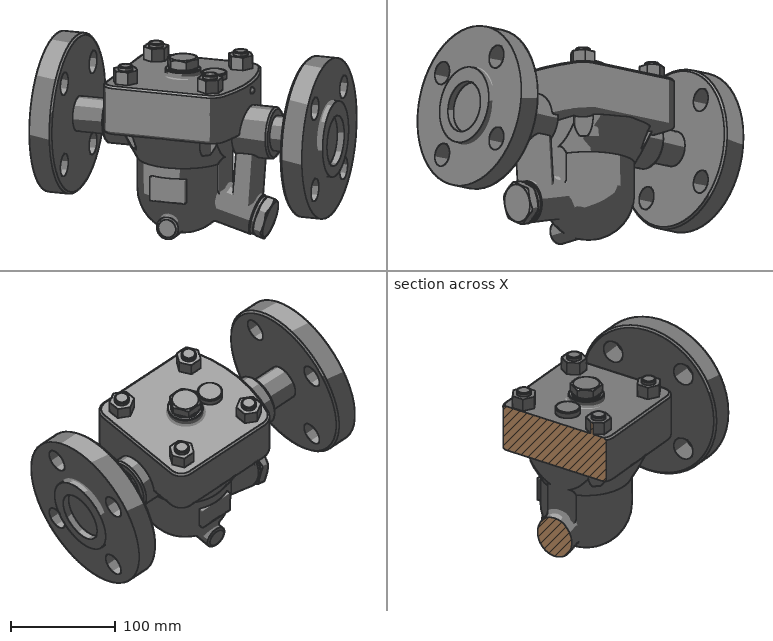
import cadquery as cq
import math

FACE_TO_FACE = 290.0
FLANGE_DIA = 155.0
FLANGE_THICKNESS = 22.4
FLANGE_CHAMFER = 2.0
RAISED_FACE_DIA = 73.2
RAISED_FACE_HEIGHT = 6.4
RAISED_FACE_FILLET = 1.8
BOLT_CIRCLE_DIA = 114.3
BOLT_HOLE_DIA = 22.0
BOLT_HOLE_COUNT = 4
SOCKET_DIA = 48.6
SOCKET_DEPTH = 7.0
SOCKET_DROP = 1.8
PIPE_DIA = 34.0
PORT_DIA = 50.0
PORT_END_X = 84.2
PORT_CHAMFER = 1.8

BODY_X = -10.0
HEAD_LEFT_X = -72.4
HEAD_RIGHT_X = 59.6
HEAD_WIDTH = 124.5
BOW_RADIUS = 150.0
LEFT_CORNER_RADIUS = 14.0
RIGHT_CORNER_RADIUS = 16.0
RIM_BOTTOM_Z = 0.8
PARTING_Z = 29.5
COVER_TOP_Z = 49.0
BOW_DRAFT_INSET = 1.8
COVER_TOP_CHAMFER = 2.0
RIM_BOTTOM_FILLET = 3.0

BOWL_RADIUS = 44.0
DOME_CENTRE_Z = -62.5
NECK_Z = -32.0
SHOULDER_Z = -18.3
SHOULDER_RADIUS = 51.7
BOWL_TOP_Z = 3.5
BOWL_TOP_RADIUS = 62.2
SCOOP_RADIUS = 10.0
GAP_LEFT_X = 36.4
GAP_RIGHT_X = 47.5
PORT_INNER_FILLET = 2.5
PAD_WIDTH = 32.0
PAD_BOTTOM_Z = -70.0
PAD_CORNER_RADIUS = 5.5

HEX_TURN = 30.0
STUD_PITCH = 86.0
STUD_DIA = 14.0
STUD_TOP_Z = 65.5
STUD_CHAMFER = 1.0
NUT_FLATS = 21.0
NUT_HEIGHT = 12.7
NUT_FACE_DIA = 23.4
NUT_CHAMFER = 0.8

PLUG_BOSS_DIA = 34.0
PLUG_BOSS_TOP_Z = 55.5
PLUG_BOSS_CHAMFER = 0.5
PLUG_BOSS_FILLET = 3.0
PLUG_NECK_DIA = 28.0
PLUG_NECK_HEIGHT = 1.0
PLUG_FLATS = 27.0
PLUG_TOP_Z = 66.5
PLUG_FACE_DIA = 25.2
PLUG_CHAMFER = 1.3
ROUND_PAD_X = 21.7
ROUND_PAD_DIA = 24.0
ROUND_PAD_TOP_Z = 55.2
ROUND_PAD_CHAMFER = 1.0
PIN_RADIUS = 3.4
PIN_TIP_X = 62.5
PIN_Z = 40.0

BRANCH_TILT = 15.0
BRANCH_DIA = 40.0
BRANCH_LENGTH = 79.0
BRANCH_CHAMFER = 1.0
BRANCH_NECK_DIA = 38.0
BRANCH_NECK_LENGTH = 3.0
BRANCH_PLUG_FLATS = 37.0
BRANCH_PLUG_END = 92.0
BRANCH_PLUG_CHAMFER = 1.5
BRANCH_PLUG_FACE_DIA = 36.0
BRANCH_PLUG_CORNER_RADIUS = 4.0
BRANCH_ROOT_FILLET = 5.0

RIB_WIDTH = 22.6
RIB_DEPTH = 34.0
RIB_CORNER_RADIUS = 6.0
RIB_TOP_X = 60.6
RIB_TILT = 4.1
RIB_LENGTH = 72.0
RIB_ROOT_FILLET = 2.0

DRAIN_DIA = 22.0
DRAIN_Z = -92.0
DRAIN_END_Y = -45.2
DRAIN_CHAMFER_RADIAL = 1.2
DRAIN_CHAMFER_AXIAL = 2.2
DRAIN_ROOT_FILLET = 2.5
PLATE_WIDTH = 36.0
PLATE_HEIGHT = 24.0
PLATE_CENTRE_Z = -54.3
PLATE_FRONT_Y = -44.6
PLATE_CORNER_RADIUS = 1.0
PLATE_EDGE_FILLET = 0.5


def hex_prism(plane, across_flats, height, face_dia, chamfer, turn=0.0, both_ends=False, corner=0.0):
    """Hexagonal prism on a plane, its corners trimmed by a chamfered round bar."""
    across_corners = across_flats / math.cos(math.pi / 6)
    prism = (
        cq.Workplane(plane)
        .transformed(rotate=(0, 0, turn))
        .polygon(6, across_corners)
        .extrude(height)
    )
    if corner:
        prism = prism.edges(cq.selectors.ParallelDirSelector(plane.zDir)).fillet(corner)
    ends = "<Z or >Z" if both_ends else ">Z"
    bar = cq.Workplane("XY").circle(across_corners / 2).extrude(height)
    bar = bar.edges(ends).chamfer(chamfer, (across_corners - face_dia) / 2)
    trimmed = prism.val().intersect(bar.val().moved(plane.location))
    return cq.Workplane(trimmed)


def blend(base, feature, radius):
    """Join a feature to a base and fillet the seam where their surfaces meet."""
    tolerance = 0.001
    joined = base.union(feature)
    shells = [cq.Compound.makeCompound(part.faces().vals()) for part in (base, feature)]
    own_edges = cq.Compound.makeCompound(base.edges().vals() + feature.edges().vals())
    seam = []
    for edge in joined.edges().vals():
        middle = cq.Vertex.makeVertex(*edge.positionAt(0.5).toTuple())
        on_both = all(middle.distance(shell) < tolerance for shell in shells)
        if on_both and middle.distance(own_edges) > tolerance:
            seam.append(edge)
    return joined.newObject(seam).fillet(radius)


def pipe_end(inner_x, inner_fillet=0.0):
    """Left flange with pipe stub and a port that reaches inwards to inner_x."""
    face_x = -FACE_TO_FACE / 2
    front_x = face_x + RAISED_FACE_HEIGHT
    back_x = front_x + FLANGE_THICKNESS
    port_x = -PORT_END_X

    flange = cq.Workplane("YZ", origin=(front_x, 0, 0)).circle(FLANGE_DIA / 2).extrude(FLANGE_THICKNESS)
    flange = flange.edges(">X").chamfer(FLANGE_CHAMFER)
    raised_face = (
        cq.Workplane("YZ", origin=(face_x, 0, 0)).circle(RAISED_FACE_DIA / 2).extrude(RAISED_FACE_HEIGHT)
    )
    root_edge = cq.selectors.RadiusNthSelector(0)
    flange = flange.union(raised_face)
    flange = flange.faces("<X[1]").edges(root_edge).fillet(RAISED_FACE_FILLET)

    bolt_holes = (
        cq.Workplane("YZ", origin=(front_x, 0, 0))
        .polarArray(BOLT_CIRCLE_DIA / 2, 180 / BOLT_HOLE_COUNT, 360, BOLT_HOLE_COUNT)
        .circle(BOLT_HOLE_DIA / 2)
        .extrude(FLANGE_THICKNESS)
    )
    socket = (
        cq.Workplane("YZ", origin=(face_x, 0, -SOCKET_DROP)).circle(SOCKET_DIA / 2).extrude(SOCKET_DEPTH)
    )
    pipe = cq.Workplane("YZ", origin=(back_x, 0, 0)).circle(PIPE_DIA / 2).extrude(port_x - back_x)
    port = cq.Workplane("YZ", origin=(port_x, 0, 0)).circle(PORT_DIA / 2).extrude(inner_x - port_x)
    port = port.faces("<X").chamfer(PORT_CHAMFER)
    if inner_fillet:
        port = port.faces(">X").edges().fillet(inner_fillet)
    return flange.cut(bolt_holes).cut(socket).union(pipe).union(port)


def head_outline(z, bow_x):
    """Closed head outline at height z; the bowed right side reaches out to bow_x."""
    half_width = HEAD_WIDTH / 2
    left_x = HEAD_LEFT_X + LEFT_CORNER_RADIUS
    left_y = half_width - LEFT_CORNER_RADIUS

    bow_centre_x = HEAD_RIGHT_X - BOW_RADIUS
    corner_y = half_width - RIGHT_CORNER_RADIUS
    centre_distance = BOW_RADIUS - RIGHT_CORNER_RADIUS
    corner_x = bow_centre_x + math.sqrt(centre_distance**2 - corner_y**2)
    tangent_x = bow_centre_x + (corner_x - bow_centre_x) * BOW_RADIUS / centre_distance
    tangent_y = corner_y * BOW_RADIUS / centre_distance

    return (
        cq.Workplane("XY", origin=(0, 0, z))
        .moveTo(left_x, -half_width)
        .lineTo(corner_x, -half_width)
        .radiusArc((tangent_x, -tangent_y), -RIGHT_CORNER_RADIUS)
        .threePointArc((bow_x, 0), (tangent_x, tangent_y))
        .radiusArc((corner_x, half_width), -RIGHT_CORNER_RADIUS)
        .lineTo(left_x, half_width)
        .radiusArc((HEAD_LEFT_X, left_y), -LEFT_CORNER_RADIUS)
        .lineTo(HEAD_LEFT_X, -left_y)
        .radiusArc((left_x, -half_width), -LEFT_CORNER_RADIUS)
        .close()
    )


def cover():
    slab = head_outline(PARTING_Z, HEAD_RIGHT_X).extrude(COVER_TOP_Z - PARTING_Z)
    return slab.faces(">Z").chamfer(COVER_TOP_CHAMFER)


def rim():
    """Body rim under the cover; its bowed side is drafted inwards towards the bottom."""
    top_wire = head_outline(PARTING_Z, HEAD_RIGHT_X).val()
    bottom_wire = head_outline(RIM_BOTTOM_Z, HEAD_RIGHT_X - BOW_DRAFT_INSET).val()
    slab = cq.Workplane(cq.Solid.makeLoft([bottom_wire, top_wire], True))
    return slab.faces("<Z").edges().fillet(RIM_BOTTOM_FILLET)


def stud_points():
    """Stud centres with the sign of the diagonal on which each one lies."""
    half_pitch = STUD_PITCH / 2
    return [
        (BODY_X + side_x * half_pitch, side_y * half_pitch, side_x * side_y)
        for side_x in (-1, 1)
        for side_y in (-1, 1)
    ]


def bowl():
    """Domed bowl with conical shoulders, stud scoops and a flat right side."""
    profile = (
        cq.Workplane("XZ", origin=(BODY_X, 0, 0))
        .moveTo(0, BOWL_TOP_Z)
        .lineTo(BOWL_TOP_RADIUS, BOWL_TOP_Z)
        .lineTo(SHOULDER_RADIUS, SHOULDER_Z)
        .lineTo(BOWL_RADIUS, NECK_Z)
        .lineTo(BOWL_RADIUS, DOME_CENTRE_Z)
        .radiusArc((0, DOME_CENTRE_Z - BOWL_RADIUS), BOWL_RADIUS)
        .close()
    )
    shell = profile.revolve(360, (0, 0, 0), (0, 1, 0))
    for x, y, _ in stud_points():
        scoop = cq.Workplane("XY", origin=(x, y, SHOULDER_Z)).circle(SCOOP_RADIUS)
        shell = shell.cut(scoop.extrude(RIM_BOTTOM_Z - SHOULDER_Z))
    side = cq.Workplane("XY").box(
        BOWL_TOP_RADIUS, HEAD_WIDTH, BOWL_TOP_Z - PAD_BOTTOM_Z, centered=(False, True, False)
    )
    shell = shell.cut(side.translate((GAP_LEFT_X, 0, PAD_BOTTOM_Z)))
    pad = cq.Workplane("XY").box(
        GAP_LEFT_X - BODY_X, PAD_WIDTH, SHOULDER_Z - PAD_BOTTOM_Z, centered=(False, True, False)
    )
    pad = pad.edges("|Z and >X").fillet(PAD_CORNER_RADIUS)
    return shell.union(pad.translate((BODY_X, 0, PAD_BOTTOM_Z)))


def stud_and_nut(x, y, diagonal):
    """Stud end with its nut; nuts on opposite diagonals are turned by half a flat."""
    seat = cq.Plane(origin=(x, y, COVER_TOP_Z))
    turn = 0 if diagonal > 0 else HEX_TURN
    nut = hex_prism(seat, NUT_FLATS, NUT_HEIGHT, NUT_FACE_DIA, NUT_CHAMFER, turn)
    stud = cq.Workplane(seat).circle(STUD_DIA / 2).extrude(STUD_TOP_Z - COVER_TOP_Z)
    return nut.union(stud.faces(">Z").chamfer(STUD_CHAMFER))


def cover_plug():
    """Hexagonal plug on a round boss with a flared foot."""
    radius = PLUG_BOSS_DIA / 2
    boss = (
        cq.Workplane("XZ", origin=(BODY_X, 0, 0))
        .moveTo(0, COVER_TOP_Z)
        .lineTo(radius + PLUG_BOSS_FILLET, COVER_TOP_Z)
        .radiusArc((radius, COVER_TOP_Z + PLUG_BOSS_FILLET), PLUG_BOSS_FILLET)
        .lineTo(radius, PLUG_BOSS_TOP_Z)
        .lineTo(0, PLUG_BOSS_TOP_Z)
        .close()
        .revolve(360, (0, 0, 0), (0, 1, 0))
        .faces(">Z")
        .chamfer(PLUG_BOSS_CHAMFER)
    )
    neck_top_z = PLUG_BOSS_TOP_Z + PLUG_NECK_HEIGHT
    neck = cq.Workplane("XY", origin=(BODY_X, 0, PLUG_BOSS_TOP_Z)).circle(PLUG_NECK_DIA / 2)
    seat = cq.Plane(origin=(BODY_X, 0, neck_top_z))
    height = PLUG_TOP_Z - neck_top_z
    head_hex = hex_prism(seat, PLUG_FLATS, height, PLUG_FACE_DIA, PLUG_CHAMFER, both_ends=True)
    return boss.union(neck.extrude(PLUG_NECK_HEIGHT)).union(head_hex)


def round_pad():
    pad = cq.Workplane("XY", origin=(ROUND_PAD_X, 0, COVER_TOP_Z)).circle(ROUND_PAD_DIA / 2)
    return pad.extrude(ROUND_PAD_TOP_Z - COVER_TOP_Z).faces(">Z").chamfer(ROUND_PAD_CHAMFER)


def pin():
    return cq.Workplane("XY").sphere(PIN_RADIUS).translate((PIN_TIP_X - PIN_RADIUS, 0, PIN_Z))


def branch():
    """Side branch sloping down from the dome centre, closed by a hexagonal plug."""
    tilt = math.radians(BRANCH_TILT)
    direction = cq.Vector(math.cos(tilt), 0, -math.sin(tilt))
    start = cq.Vector(BODY_X, 0, DOME_CENTRE_Z)

    def plane_at(distance):
        return cq.Plane(origin=start + direction * distance, xDir=(0, 1, 0), normal=direction)

    tube = cq.Workplane(plane_at(0)).circle(BRANCH_DIA / 2).extrude(BRANCH_LENGTH)
    tube = tube.faces(">X").chamfer(BRANCH_CHAMFER)
    neck = cq.Workplane(plane_at(BRANCH_LENGTH)).circle(BRANCH_NECK_DIA / 2).extrude(BRANCH_NECK_LENGTH)
    seat = BRANCH_LENGTH + BRANCH_NECK_LENGTH
    plug = hex_prism(
        plane_at(seat),
        BRANCH_PLUG_FLATS,
        BRANCH_PLUG_END - seat,
        BRANCH_PLUG_FACE_DIA,
        BRANCH_PLUG_CHAMFER,
        turn=HEX_TURN,
        both_ends=True,
        corner=BRANCH_PLUG_CORNER_RADIUS,
    )
    return tube.union(neck).union(plug)


def bypass_rib():
    """Rounded rectangular rib hanging from the right port down into the branch."""
    return (
        cq.Workplane("XY")
        .rect(RIB_WIDTH, RIB_DEPTH)
        .extrude(-RIB_LENGTH)
        .edges("|Z")
        .fillet(RIB_CORNER_RADIUS)
        .rotate((0, 0, 0), (0, 1, 0), RIB_TILT)
        .translate((RIB_TOP_X, 0, 0))
    )


def drain_boss():
    boss = cq.Workplane("XZ", origin=(BODY_X, 0, DRAIN_Z)).circle(DRAIN_DIA / 2).extrude(-DRAIN_END_Y)
    return boss.faces("<Y").edges().chamfer(DRAIN_CHAMFER_RADIAL, DRAIN_CHAMFER_AXIAL)


def name_plate():
    plate = cq.Workplane("XZ", origin=(BODY_X, 0, PLATE_CENTRE_Z)).rect(PLATE_WIDTH, PLATE_HEIGHT)
    plate = plate.extrude(-PLATE_FRONT_Y)
    return plate.edges("|Y").fillet(PLATE_CORNER_RADIUS).faces("<Y").edges().fillet(PLATE_EDGE_FILLET)


left_end = pipe_end(BODY_X)
right_end = pipe_end(-GAP_RIGHT_X, PORT_INNER_FILLET).mirror("YZ")

body = blend(bowl(), drain_boss(), DRAIN_ROOT_FILLET)
body = blend(body, branch(), BRANCH_ROOT_FILLET)
body = blend(body, bypass_rib(), RIB_ROOT_FILLET)
for feature in (left_end, right_end, rim(), name_plate()):
    body = body.union(feature)

cover_group = cover()
for feature in (cover_plug(), round_pad(), pin()):
    cover_group = cover_group.union(feature)
for x, y, diagonal in stud_points():
    cover_group = cover_group.union(stud_and_nut(x, y, diagonal))

result = body.union(cover_group, clean=False)